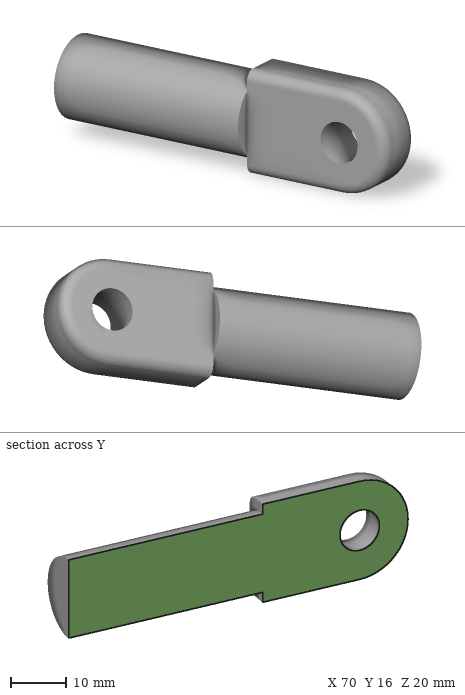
import cadquery as cq

shank_diameter = 16.0
shank_length = 40.0

eye_height = 20.0
eye_thickness = 10.0
eye_straight_length = 20.0
eye_edge_radius = 2.0
hole_diameter = 8.0

eye_end_radius = eye_height / 2
hole_center_x = shank_length + eye_straight_length


def make_shank():
    return cq.Workplane("YZ").circle(shank_diameter / 2).extrude(shank_length)


def make_eye():
    """Tongue in the XZ plane, centred on Y, with its long outer edges rounded."""
    blank = (
        cq.Workplane("XZ")
        .moveTo(shank_length, -eye_end_radius)
        .lineTo(hole_center_x, -eye_end_radius)
        .threePointArc((hole_center_x + eye_end_radius, 0), (hole_center_x, eye_end_radius))
        .lineTo(shank_length, eye_end_radius)
        .close()
        .extrude(eye_thickness / 2, both=True)
    )
    outer_edges = blank.faces("|Y").edges().edges("not(|Z)")
    return outer_edges.fillet(eye_edge_radius)


def make_pin_hole():
    return (
        cq.Workplane("XZ")
        .center(hole_center_x, 0)
        .circle(hole_diameter / 2)
        .extrude(eye_thickness, both=True)
    )


result = make_shank().union(make_eye()).cut(make_pin_hole())